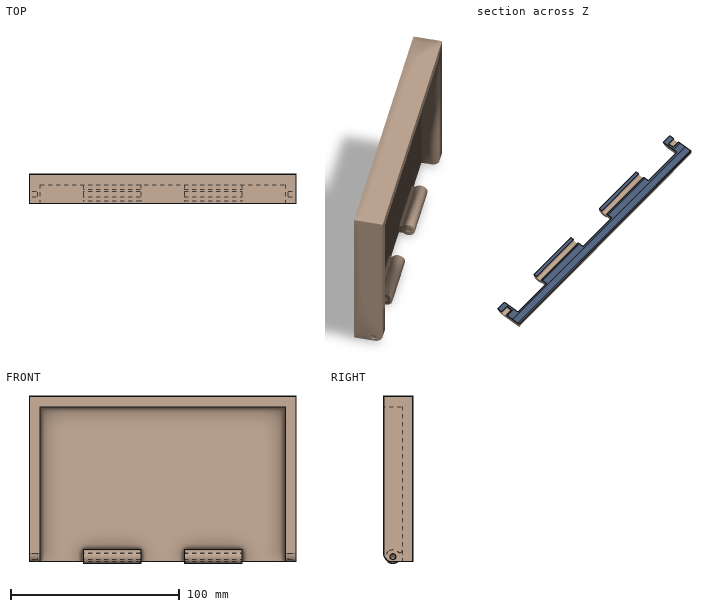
import cadquery as cq
import math

width = 158.2
depth = 17.4
height = 98.1
wall = 6.3
back_thickness = 6.3
corner_radius = 4.9
floor_y = depth - back_thickness

hinge_y = 5.5
hinge_z = 3.0
pin_radius = 1.7
pin_hole_depth = 4.7

knuckle_radius = 4.1
knuckle_length = 34.0
knuckle_inset = 32.1
neck_fillet = 1.5


def x_cylinder(x_start, length, radius):
    """Cylinder on the hinge axis."""
    plane = cq.Workplane("YZ", origin=(x_start, hinge_y, hinge_z))
    return plane.circle(radius).extrude(length)


def make_shell():
    body = cq.Workplane("XY").box(width, depth, height, centered=False)
    body = body.edges("|X and <Y and <Z").fillet(corner_radius)
    cavity = (
        cq.Workplane("XY")
        .box(width - 2 * wall, floor_y, height - wall, centered=False)
        .translate((wall, 0, 0))
    )
    return body.cut(cavity)


def make_knuckle(x_start):
    """Drilled barrel joined to the tray floor by a neck with a concave top."""
    arc_y = floor_y - neck_fillet
    center_distance = knuckle_radius + neck_fillet
    arc_z = hinge_z + math.sqrt(center_distance**2 - (arc_y - hinge_y) ** 2)
    barrel_share = knuckle_radius / center_distance
    tangent_y = hinge_y + (arc_y - hinge_y) * barrel_share
    tangent_z = hinge_z + (arc_z - hinge_z) * barrel_share
    angle_to_barrel = math.atan2(tangent_z - arc_z, tangent_y - arc_y)
    middle_angle = angle_to_barrel / 2
    arc_middle = (
        arc_y + neck_fillet * math.cos(middle_angle),
        arc_z + neck_fillet * math.sin(middle_angle),
    )
    neck = (
        cq.Workplane("YZ", origin=(x_start, 0, 0))
        .moveTo(hinge_y, 0)
        .lineTo(floor_y, 0)
        .lineTo(floor_y, arc_z)
        .threePointArc(arc_middle, (tangent_y, tangent_z))
        .lineTo(hinge_y, hinge_z)
        .close()
        .extrude(knuckle_length)
    )
    barrel = x_cylinder(x_start, knuckle_length, knuckle_radius)
    bore = x_cylinder(x_start, knuckle_length, pin_radius)
    return neck.union(barrel).cut(bore)


result = make_shell()

for knuckle_x in (knuckle_inset, width - knuckle_inset - knuckle_length):
    result = result.union(make_knuckle(knuckle_x))

for hole_x in (0, width - pin_hole_depth):
    result = result.cut(x_cylinder(hole_x, pin_hole_depth, pin_radius))